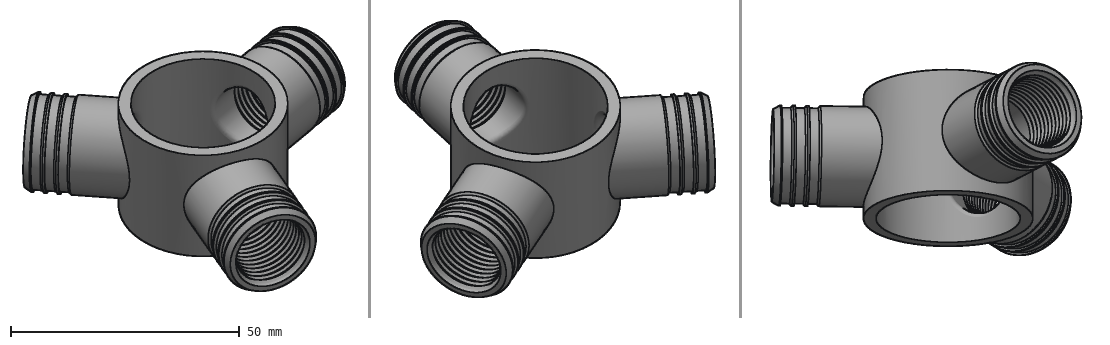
import cadquery as cq
import math

HUB_OUTER_RADIUS = 18.5
HUB_INNER_RADIUS = 15.75
HUB_HEIGHT = 28.0

SPOUT_COUNT = 3
FIRST_SPOUT_ANGLE = 90.0
SPOUT_RADIUS = 11.0
SPOUT_END = 38.4

LIP_TAPER_ANGLE = 30.0
LIP_TAPER_LENGTH = 1.5
LIP_TAPER_DEPTH = LIP_TAPER_LENGTH * math.tan(math.radians(LIP_TAPER_ANGLE))
LIP_BAND_WIDTH = 0.3

GROOVE_COUNT = 3
GROOVE_DEPTH = 0.5
GROOVE_WIDTH = 2.5
GROOVE_PITCH = 3.0
FIRST_GROOVE_START = SPOUT_END - LIP_TAPER_LENGTH - LIP_BAND_WIDTH

BORE_RADIUS = 7.5
BORE_EDGE_FILLET = 1.2
MOUTH_RADIUS = 8.8
MOUTH_CREST_RADIUS = 8.15
THREAD_DEPTH = 0.45
THREAD_PITCH = 1.4
THREAD_COUNT = 12
THREAD_END = SPOUT_END - THREAD_COUNT * THREAD_PITCH
THREAD_TAPER = (MOUTH_CREST_RADIUS - BORE_RADIUS) / (SPOUT_END - THREAD_END)

SELECTION_MARGIN = 0.1


def revolve_about_x(points):
    profile = cq.Workplane("XY").polyline(points).close()
    return profile.revolve(360, (0, 0, 0), (1, 0, 0))


def hub_cylinder(radius):
    return cq.Workplane("XY").circle(radius).extrude(HUB_HEIGHT / 2, both=True)


def make_spout():
    """Solid spout along +X, with a tapered lip and outer grooves."""
    points = [
        (0, 0),
        (SPOUT_END, 0),
        (SPOUT_END, SPOUT_RADIUS - LIP_TAPER_DEPTH),
        (SPOUT_END - LIP_TAPER_LENGTH, SPOUT_RADIUS),
    ]
    groove_radius = SPOUT_RADIUS - GROOVE_DEPTH
    for index in range(GROOVE_COUNT):
        start = FIRST_GROOVE_START - index * GROOVE_PITCH
        end = start - GROOVE_WIDTH
        points.append((start, SPOUT_RADIUS))
        points.append((start, groove_radius))
        points.append((end + GROOVE_DEPTH, groove_radius))
        points.append((end, SPOUT_RADIUS))
    points.append((0, SPOUT_RADIUS))
    return revolve_about_x(points)


def crest_radius(distance):
    """Radius of the tapered thread crests at a distance from the hub axis."""
    return BORE_RADIUS + THREAD_TAPER * (distance - THREAD_END)


def make_bore():
    """Hollow of a spout along +X: an open mouth, tapered thread rings and a plain hole."""
    points = [(0, 0), (SPOUT_END, 0), (SPOUT_END, MOUTH_RADIUS)]
    for index in range(THREAD_COUNT):
        root = SPOUT_END - (index + 0.5) * THREAD_PITCH
        crest = root - THREAD_PITCH / 2
        points.append((root, crest_radius(root) + THREAD_DEPTH))
        points.append((crest, crest_radius(crest)))
    points.append((0, BORE_RADIUS))
    return revolve_about_x(points)


def around_hub(shape, index):
    """Turn a shape lying along +X to the direction of the given spout."""
    angle = FIRST_SPOUT_ANGLE + index * 360 / SPOUT_COUNT
    return shape.rotate((0, 0, 0), (0, 0, 1), angle)


def round_bore_edges(shape):
    """Fillet the edges where the spout bores break into the hub."""
    half_width = HUB_INNER_RADIUS + SELECTION_MARGIN
    corner = (half_width, half_width, HUB_HEIGHT / 2 - SELECTION_MARGIN)
    opposite_corner = tuple(-value for value in corner)
    selector = cq.selectors.BoxSelector(opposite_corner, corner, boundingbox=True)
    return shape.edges(selector).fillet(BORE_EDGE_FILLET)


spout = make_spout()
bore = make_bore()
body = hub_cylinder(HUB_OUTER_RADIUS)
for spout_index in range(SPOUT_COUNT):
    body = body.union(around_hub(spout, spout_index))
body = body.cut(hub_cylinder(HUB_INNER_RADIUS))
for spout_index in range(SPOUT_COUNT):
    body = body.cut(around_hub(bore, spout_index))

result = round_bore_edges(body)